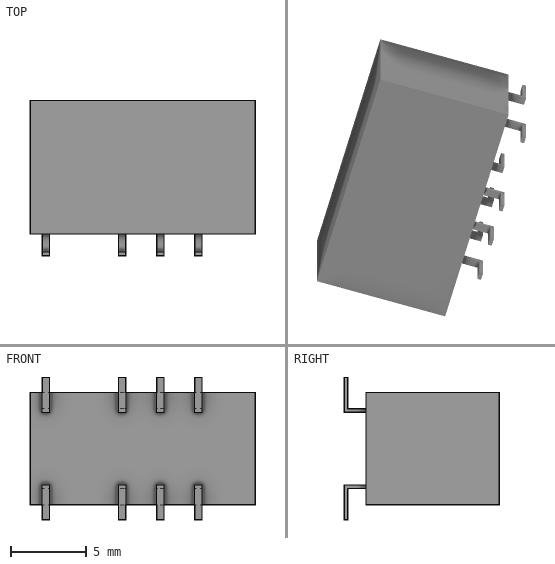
import cadquery as cq

body_length = 15.0
body_depth = 8.91
body_height = 7.5

overall_depth = 10.36
overall_height = 9.5
pin_width = 0.5
pin_thickness = 0.25
row_spacing = 5.08
pin_pitch = 2.54
first_pin_inset = 1.05
pin_steps = (0, 2, 3, 4)

pin_reach = overall_depth - body_depth
stub_inner_z = (row_spacing - pin_thickness) / 2
stub_outer_z = stub_inner_z + pin_thickness
foot_tip_z = overall_height / 2
first_pin_x = -body_length / 2 + first_pin_inset


def make_body():
    return cq.Workplane("XY").box(body_length, body_depth, body_height).translate((0, body_depth / 2, 0))


def make_upper_pin(center_x):
    """Terminal of the upper row, with its foot pointing to +Z."""
    return (
        cq.Workplane("YZ", origin=(center_x, 0, 0))
        .moveTo(0, stub_inner_z)
        .lineTo(-pin_reach, stub_inner_z)
        .lineTo(-pin_reach, foot_tip_z)
        .lineTo(-pin_reach + pin_thickness, foot_tip_z)
        .lineTo(-pin_reach + pin_thickness, stub_outer_z)
        .lineTo(0, stub_outer_z)
        .close()
        .extrude(pin_width / 2, both=True)
    )


result = make_body()
for step in pin_steps:
    upper_pin = make_upper_pin(first_pin_x + step * pin_pitch)
    lower_pin = upper_pin.mirror("XY")
    result = result.union(upper_pin).union(lower_pin)